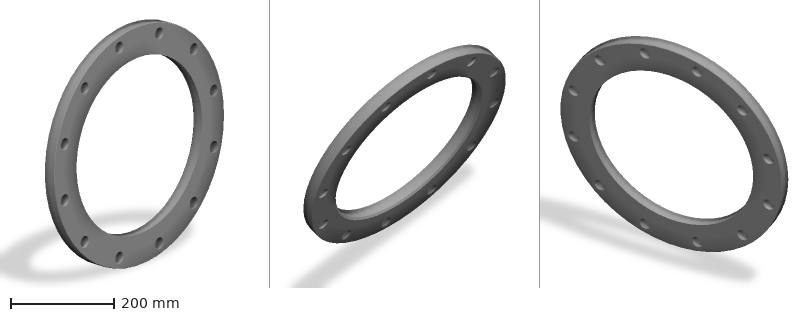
import cadquery as cq

outer_diameter = 490.0
thickness = 26.0
bore_diameter = 362.0
bore_chamfer = 4.0
rim_chamfer = 1.0

hole_count = 12
hole_diameter = 22.0
hole_chamfer = 1.0
bolt_circle_diameter = 445.0
half_pitch_angle = 360 / hole_count / 2


def flange_ring():
    """Ring with its bore chamfered on the -X face and its rim on both faces."""
    disc = cq.Workplane("YZ").circle(outer_diameter / 2).extrude(thickness)
    disc = disc.edges().chamfer(rim_chamfer)
    bore = cq.Workplane("YZ").circle(bore_diameter / 2).extrude(thickness)
    ring = disc.cut(bore)
    bore_edge = cq.selectors.RadiusNthSelector(0)
    return ring.faces("<X").edges(bore_edge).chamfer(bore_chamfer)


def drill_bolt_holes(ring):
    """Cut the evenly spaced through holes and chamfer both ends of each."""
    drills = (
        cq.Workplane("YZ")
        .polarArray(bolt_circle_diameter / 2, half_pitch_angle, 360, hole_count)
        .circle(hole_diameter / 2)
        .extrude(thickness)
    )
    drilled = ring.cut(drills)
    hole_edges = cq.selectors.RadiusNthSelector(0)
    return drilled.faces("<X or >X").edges(hole_edges).chamfer(hole_chamfer)


result = drill_bolt_holes(flange_ring())